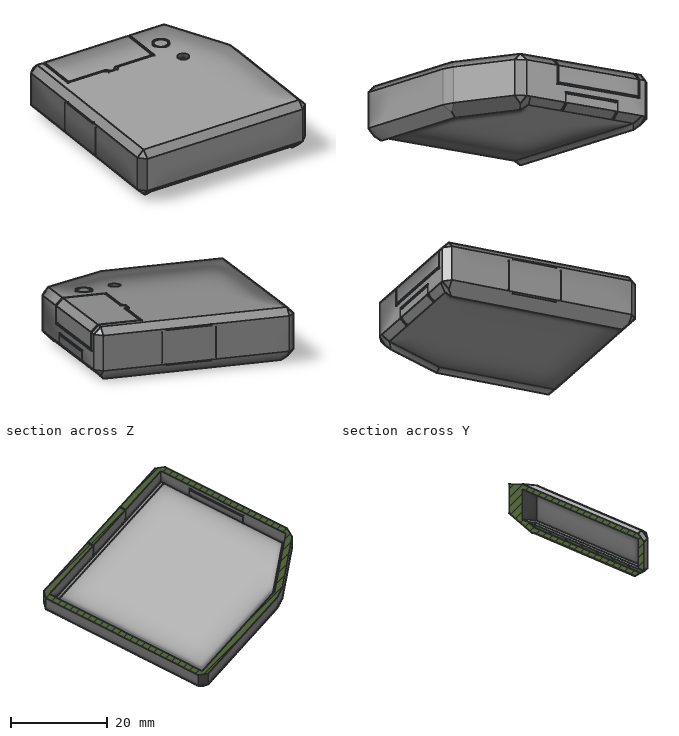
import cadquery as cq
import math

length = 44.15
width = 41.1
height = 11.65
diagonal_x = 15.55
diagonal_y = 33.55
edge_chamfer = 1.5
wall = 1.5
cutter_reach = 4 * edge_chamfer
slot = 0.4
hairline = 0.1

lip_height = 1.0
cover_thickness = 1.5
cover_top = lip_height + cover_thickness
cover_top_inset = 2.2
cover_bottom_inset = 3.4
lip_tip_inset = 2.6

button_x, button_y = 7.65, 27.95
button_diameter = 3.5
button_top_diameter = 3.0
button_hole_diameter = 3.6
indicator_x, indicator_y = 14.8, 28.9
indicator_diameter = 2.5

door_depth = 11.15
door_width = 21.3
door_center_y = 13.55
door_bottom = 6.2
door_bridge = 0.3
tooth_reach = 11.9
tooth_base_half = 1.7
tooth_tip_half = 1.05
tooth_bridge = 0.4

left_panel_center_y = 15.28
left_panel_width = 13.5
left_panel_top = 4.8
left_panel_bridge = 0.4

front_panel_center_x = 20.5
front_panel_width = 12.0
front_slot_width = 9.9
front_slot_height = 0.3
front_panel_top = height - edge_chamfer
front_panel_bottom = cover_top - front_slot_height
front_cut_gap = 0.7


def box(x0, x1, y0, y1, z0, z1):
    return cq.Workplane("XY").box(x1 - x0, y1 - y0, z1 - z0, centered=False).translate((x0, y0, z0))


def disc(x, y, diameter, z0, z1):
    return cq.Workplane("XY", origin=(x, y, z0)).circle(diameter / 2).extrude(z1 - z0)


def outline_points(inset, overrun=0.0):
    """Corners of the case outline moved inward; overrun pushes only the left and right sides outward."""
    slope = (width - diagonal_y) / diagonal_x
    drop = inset * math.hypot(1, slope)
    left = inset if overrun == 0 else -overrun
    right = length - left
    back = width - inset
    return [
        (left, inset),
        (right, inset),
        (right, back),
        ((back - diagonal_y + drop) / slope, back),
        (left, diagonal_y - drop + slope * left),
    ]


def outline(inset, z, overrun=0.0):
    return cq.Workplane("XY", origin=(0, 0, z)).polyline(outline_points(inset, overrun)).close()


def loft_outline(inset_low, z_low, inset_high, z_high, overrun=0.0):
    low = outline(inset_low, z_low, overrun).wires().val()
    high = outline(inset_high, z_high, overrun).wires().val()
    return cq.Workplane(cq.Solid.makeLoft([low, high], True))


def make_corner_cutter(corner, apex):
    """Removes one upright corner and the two sloping facets that run from it to the inset corners."""
    inward = cq.Vector(apex[0] - corner[0], apex[1] - corner[1], 0)
    apex_depth = inward.Length
    half_angle = math.asin(edge_chamfer / apex_depth)
    bevel_depth = edge_chamfer * math.cos(half_angle)
    profile = [
        (-edge_chamfer, lip_height),
        (apex_depth, lip_height),
        (bevel_depth, cover_top),
        (bevel_depth, height - edge_chamfer),
        (apex_depth, height),
        (-edge_chamfer, height),
    ]
    across = inward.cross(cq.Vector(0, 0, 1))
    plane = cq.Plane(origin=(corner[0], corner[1], 0), xDir=inward, normal=across)
    return cq.Workplane(plane).polyline(profile).close().extrude(cutter_reach, both=True)


def make_envelope():
    """Full outer shape: chamfered top, bevelled upright corners and 45 degree lower sides."""
    shoulder = height - edge_chamfer
    envelope = loft_outline(cover_top, 0, 0, cover_top)
    envelope = envelope.union(outline(0, cover_top).extrude(shoulder - cover_top))
    envelope = envelope.union(loft_outline(0, shoulder, edge_chamfer, height))
    for corner, apex in zip(outline_points(0), outline_points(edge_chamfer)):
        envelope = envelope.cut(make_corner_cutter(corner, apex))
    return envelope


def make_cover_space():
    return loft_outline(cover_bottom_inset, lip_height, cover_top_inset, cover_top, overrun=wall)


def make_lip_opening():
    return loft_outline(lip_tip_inset, 0, cover_bottom_inset, lip_height, overrun=wall)


def make_door_slots():
    y0 = door_center_y - door_width / 2
    y1 = door_center_y + door_width / 2
    inner_x = door_depth - slot
    inner_tip_x = tooth_reach - slot / 2
    tip_half = tooth_bridge / 2
    inner_base_half = tip_half + inner_tip_x - inner_x
    roof = height - wall
    slots = box(0, wall, y0 + slot + door_bridge, y1 - slot - door_bridge, door_bottom, door_bottom + slot)
    for side, edge in ((-1, y0), (1, y1 - slot)):
        slots = slots.union(box(0, wall, edge, edge + slot, door_bottom, height))
        slots = slots.union(box(0, door_depth, edge, edge + slot, roof, height))
        tooth_path = [
            (inner_x, door_width / 2),
            (door_depth, door_width / 2),
            (door_depth, tooth_base_half),
            (tooth_reach, tooth_tip_half),
            (tooth_reach, tip_half),
            (inner_tip_x, tip_half),
            (inner_x, inner_base_half),
        ]
        points = [(x, door_center_y + side * y) for x, y in tooth_path]
        slots = slots.union(cq.Workplane("XY", origin=(0, 0, roof)).polyline(points).close().extrude(wall))
    return slots


def make_left_panel_cuts():
    y0 = left_panel_center_y - left_panel_width / 2
    y1 = left_panel_center_y + left_panel_width / 2
    top_slot_y0 = y0 + left_panel_bridge
    top_slot_y1 = y1 - left_panel_bridge
    cuts = box(0, wall, top_slot_y0, top_slot_y1, left_panel_top - slot, left_panel_top)
    for edge in (y0, y1 - hairline):
        cuts = cuts.union(box(0, wall, edge, edge + hairline, cover_top, left_panel_top))
    return cuts


def make_front_panel_cuts():
    x0 = front_panel_center_x - front_panel_width / 2
    x1 = front_panel_center_x + front_panel_width / 2
    slot_x0 = front_panel_center_x - front_slot_width / 2
    slot_x1 = front_panel_center_x + front_slot_width / 2
    cuts = box(slot_x0, slot_x1, 0, wall, front_panel_top - front_slot_height, front_panel_top)
    cuts = cuts.union(box(slot_x0, slot_x1, 0, wall, front_panel_bottom, cover_top))
    for edge in (x0, x1 - hairline):
        cuts = cuts.union(
            box(edge, edge + hairline, 0, wall, cover_top + slot, front_panel_top - front_cut_gap)
        )
    return cuts


def make_housing(envelope):
    cavity = outline(wall, cover_top).extrude(height - wall - cover_top)
    housing = envelope.cut(cavity).cut(make_cover_space()).cut(make_lip_opening())
    housing = housing.cut(disc(button_x, button_y, button_hole_diameter, height - wall, height))
    housing = housing.cut(disc(indicator_x, indicator_y, indicator_diameter, height - wall, height))
    housing = housing.cut(make_door_slots())
    housing = housing.cut(make_left_panel_cuts())
    return housing.cut(make_front_panel_cuts())


def make_cover(envelope):
    """Dovetail plate that ends flush with the case's chamfered left and right sides."""
    cover = make_cover_space().intersect(envelope)
    y0 = left_panel_center_y - left_panel_width / 2
    y1 = left_panel_center_y + left_panel_width / 2
    for edge in (y0, y1 - left_panel_bridge):
        cover = cover.cut(box(0, wall, edge, edge + left_panel_bridge, lip_height, cover_top))
    return cover


def make_button():
    button = disc(button_x, button_y, button_diameter, height - wall, height)
    return button.faces(">Z").chamfer((button_diameter - button_top_diameter) / 2)


envelope = make_envelope()
housing = make_housing(envelope)
cover = make_cover(envelope)
button = make_button()

result = cq.Compound.makeCompound([body.solids().val() for body in (housing, cover, button)])